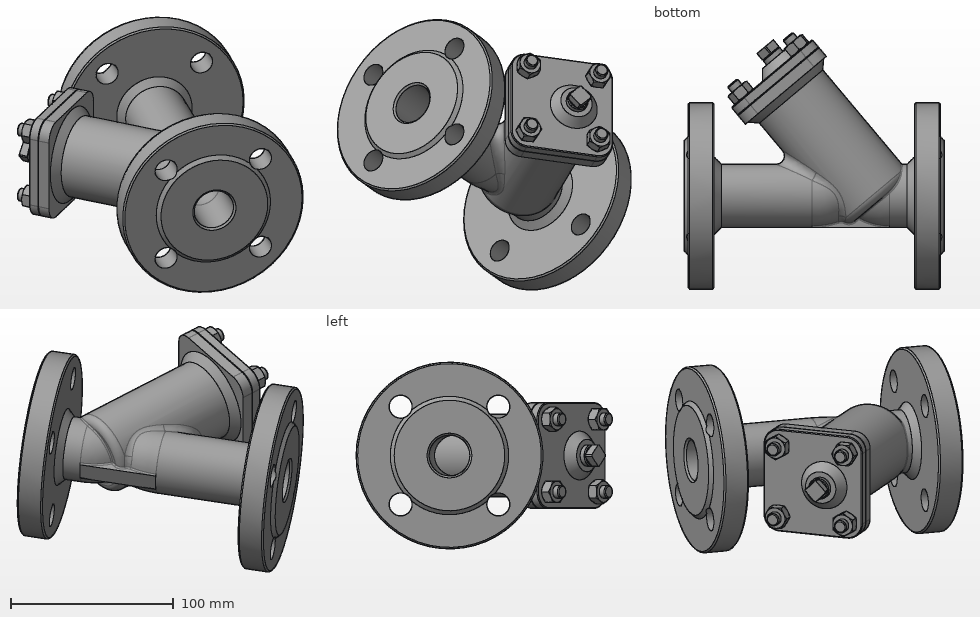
import cadquery as cq
import math

face_to_face = 160.0
flange_diameter = 115.0
flange_thickness = 18.4
flange_edge_chamfer = 1.0
raised_face_diameter = 68.0
raised_face_height = 2.4
bolt_circle_diameter = 85.0
bolt_hole_diameter = 14.0
bolt_hole_count = 4
pipe_diameter = 39.0
neck_height = 4.5
bore_diameter = 25.0
bore_chamfer = 1.25

branch_angle = 50.0
branch_origin_x = 37.0
branch_diameter = 51.0
branch_cap = -4.0
branch_edge_radius = 5.0
inlet_bend_radius = 35.0
inlet_bend_angle = 90.0 - branch_angle
inlet_bend_start = -1.4
outlet_bend_radius = 20.0
outlet_bend_start = branch_origin_x + outlet_bend_radius * math.tan(math.radians(branch_angle / 2))
crotch_radius = 5.0
web_thickness = 11.0
web_fillet = 1.0
strainer_diameter = 44.0
strainer_start = 0.0

cover_size = 65.0
cover_corner_radius = 10.0
joint_flange_start = 84.7
joint_flange_thickness = 7.0
joint_neck_height = 5.0
joint_gap = 0.5
joint_core_diameter = branch_diameter
cover_start = joint_flange_start + joint_flange_thickness + joint_gap
cover_thickness = 6.0
cover_edge_chamfer = 0.6
cover_top = cover_start + cover_thickness

boss_offset = 7.5
boss_base_diameter = 30.0
boss_top_diameter = 20.0
boss_height = 6.0
plug_diameter = 13.2
plug_collar_height = 3.9
plug_collar_chamfer = 0.7
plug_square = 10.0
plug_square_height = 5.4

stud_spacing = 44.6
stud_diameter = 8.0
stud_end_diameter = 6.65
stud_end = 109.4
stud_start = joint_flange_start + 1.0
nut_width = 13.0
nut_height = 6.8
nut_chamfer_angle = 30.0
first_nut_turn = 0.0

pipe_radius = pipe_diameter / 2
angle = math.radians(branch_angle)
branch_frame = cq.Plane(
    origin=(branch_origin_x, 0, 0),
    xDir=(math.sin(angle), -math.cos(angle), 0),
    normal=(-math.cos(angle), -math.sin(angle), 0),
)


def at_station(station):
    """Workplane across the branch axis; local x lies in the XY plane and local y is Z."""
    return cq.Workplane(branch_frame).workplane(offset=station)


def across_pipe(x):
    return cq.Workplane("YZ").workplane(offset=x)


def end_flange():
    """Flange, raised face and neck of the -X end, turned about X."""
    outer = -face_to_face / 2
    front = outer + raised_face_height
    back = outer + flange_thickness
    radius = flange_diameter / 2
    face_radius = raised_face_diameter / 2
    profile = [
        (outer, 0),
        (outer, face_radius),
        (front, face_radius + raised_face_height),
        (front, radius - flange_edge_chamfer),
        (front + flange_edge_chamfer, radius),
        (back - flange_edge_chamfer, radius),
        (back, radius - flange_edge_chamfer),
        (back, pipe_radius + neck_height),
        (back + neck_height, pipe_radius),
        (back + neck_height, 0),
    ]
    flange = cq.Workplane("XY").polyline(profile).close().revolve(360, (0, 0, 0), (1, 0, 0))
    holes = (
        across_pipe(outer)
        .polarArray(bolt_circle_diameter / 2, 45, 360, bolt_hole_count)
        .circle(bolt_hole_diameter / 2)
        .extrude(flange_thickness)
    )
    return flange.cut(holes)


def inlet(diameter):
    """Straight run from the -X end, then a bend towards the branch."""
    straight = across_pipe(-face_to_face / 2).circle(diameter / 2).extrude(
        face_to_face / 2 + inlet_bend_start
    )
    bend = (
        across_pipe(inlet_bend_start)
        .circle(diameter / 2)
        .revolve(inlet_bend_angle, (-inlet_bend_radius, 1, 0), (-inlet_bend_radius, 0, 0))
    )
    return straight.union(bend)


def outlet(diameter):
    """Straight run from the +X end, then a bend into line with the branch."""
    straight = across_pipe(outlet_bend_start).circle(diameter / 2).extrude(
        face_to_face / 2 - outlet_bend_start
    )
    bend = (
        across_pipe(outlet_bend_start)
        .circle(diameter / 2)
        .revolve(branch_angle, (-outlet_bend_radius, 0, 0), (-outlet_bend_radius, 1, 0))
    )
    return straight.union(bend)


def axial_cone(place, start_diameter, end_diameter, height):
    """Cone along the branch axis, starting at the given workplane."""
    origin = place.plane.origin
    return cq.Workplane(
        cq.Solid.makeCone(start_diameter / 2, end_diameter / 2, height, origin, branch_frame.zDir)
    )


def nearest_face_edges(body, place):
    """Edges of the face of the body that lies on the given workplane."""
    return body.faces(cq.NearestToPointSelector(place.plane.origin.toTuple())).edges()


def barrel():
    """Round branch with a rounded closed end."""
    tube = at_station(branch_cap).circle(branch_diameter / 2).extrude(joint_flange_start - branch_cap)
    return nearest_face_edges(tube, at_station(branch_cap)).fillet(branch_edge_radius)


def web():
    """Flat web at the back of the branch, bridging the two bends."""
    length = outlet_bend_start - inlet_bend_start
    plate = cq.Workplane("XY").box(length, pipe_radius, web_thickness, centered=(False, False, True))
    return plate.translate((inlet_bend_start, 0, 0))


def pipework():
    """Both pipe runs, the branch and the web, with the seams between them rounded."""
    body = inlet(pipe_diameter).union(barrel())
    crotch = [edge for edge in body.edges().vals() if edge.geomType() == "BSPLINE"]
    body = body.newObject(crotch).fillet(crotch_radius)
    body = body.union(outlet(pipe_diameter)).union(web())

    def is_web_seam(edge):
        on_web_face = math.isclose(abs(edge.Center().z), web_thickness / 2, abs_tol=1e-3)
        return on_web_face and edge.geomType() != "LINE"

    def is_outlet_seam(edge):
        beyond_inlet = edge.Center().x > outlet_bend_start - outlet_bend_radius
        return beyond_inlet and edge.geomType() == "BSPLINE"

    seams = [edge for edge in body.edges().vals() if is_web_seam(edge) or is_outlet_seam(edge)]
    return body.newObject(seams).fillet(web_fillet)


def rounded_square(start, thickness):
    outline = cq.Sketch().rect(cover_size, cover_size).vertices().fillet(cover_corner_radius)
    return at_station(start).placeSketch(outline).extrude(thickness)


def joint_flange():
    """Square flange, the 45 degree cone behind it and the round core that carries the cover."""
    neck = axial_cone(
        at_station(joint_flange_start - joint_neck_height),
        branch_diameter,
        branch_diameter + 2 * joint_neck_height,
        joint_neck_height,
    )
    core = at_station(cover_start - joint_gap).circle(joint_core_diameter / 2).extrude(joint_gap)
    return rounded_square(joint_flange_start, joint_flange_thickness).union(neck).union(core)


def cover():
    """Cover plate with the conical drain boss, the plug collar and the plug square."""
    plate = rounded_square(cover_start, cover_thickness)
    plate = nearest_face_edges(plate, at_station(cover_top)).chamfer(cover_edge_chamfer)

    boss_base = at_station(cover_top).center(boss_offset, 0)
    boss = axial_cone(boss_base, boss_base_diameter, boss_top_diameter, boss_height)

    collar_base = boss_base.workplane(offset=boss_height)
    square_base = collar_base.workplane(offset=plug_collar_height)
    collar = collar_base.circle(plug_diameter / 2).extrude(plug_collar_height)
    collar = nearest_face_edges(collar, square_base).chamfer(plug_collar_chamfer)

    square = square_base.transformed(rotate=(0, 0, 45)).rect(plug_square, plug_square)
    square = square.extrude(plug_square_height)
    square_limit = square_base.circle(plug_diameter / 2).extrude(plug_square_height)
    return plate.union(boss).union(collar).union(square.intersect(square_limit))


def make_fastener(along, height, turn):
    """Stud and nut in one piece, placed at one corner of the cover."""
    root = at_station(stud_start).center(along, height)
    tip = at_station(stud_end).center(along, height)
    stud = root.circle(stud_diameter / 2).extrude(stud_end - stud_start)
    stud = nearest_face_edges(stud, tip).chamfer((stud_diameter - stud_end_diameter) / 2)

    corner_diameter = nut_width / math.cos(math.pi / 6)
    chamfer_width = (corner_diameter - nut_width) / 2
    chamfer_depth = chamfer_width * math.tan(math.radians(nut_chamfer_angle))
    seat = at_station(cover_top).center(along, height)
    hexagon = seat.transformed(rotate=(0, 0, turn)).polygon(6, corner_diameter).extrude(nut_height)
    rounding = seat.circle(corner_diameter / 2).extrude(nut_height)
    rounding = rounding.edges().chamfer(chamfer_depth, chamfer_width)
    return stud.union(hexagon.intersect(rounding))


def make_fasteners():
    """One fastener per cover corner; each is the previous one turned a quarter about the axis."""
    reach = stud_spacing / 2
    corners = [(reach, reach), (-reach, reach), (-reach, -reach), (reach, -reach)]
    return [
        make_fastener(along, height, first_nut_turn + 90 * index)
        for index, (along, height) in enumerate(corners)
    ]


def passage():
    """Bores of both ends, opening onto the round strainer core that fills the branch."""
    strainer = (
        at_station(strainer_start)
        .circle(strainer_diameter / 2)
        .extrude(joint_flange_start - strainer_start)
    )
    bores = inlet(bore_diameter).union(outlet(bore_diameter)).cut(strainer)
    mouth = cq.Workplane(
        cq.Solid.makeCone(
            bore_diameter / 2 + bore_chamfer,
            bore_diameter / 2,
            bore_chamfer,
            cq.Vector(-face_to_face / 2, 0, 0),
            cq.Vector(1, 0, 0),
        )
    )
    return bores.union(mouth).union(mouth.mirror("YZ"))


def make_housing(fasteners):
    """Strainer housing with its cover, pierced by the passage and the stud holes."""
    body = pipework()
    body = body.union(end_flange()).union(end_flange().mirror("YZ"))
    body = body.union(joint_flange()).union(cover())
    body = body.cut(passage())
    for fastener in fasteners:
        body = body.cut(fastener)
    return body


fasteners = make_fasteners()
housing = make_housing(fasteners)
fastener_solids = [fastener.solids().val() for fastener in fasteners]
result = cq.Compound.makeCompound([housing.solids().val(), *fastener_solids])